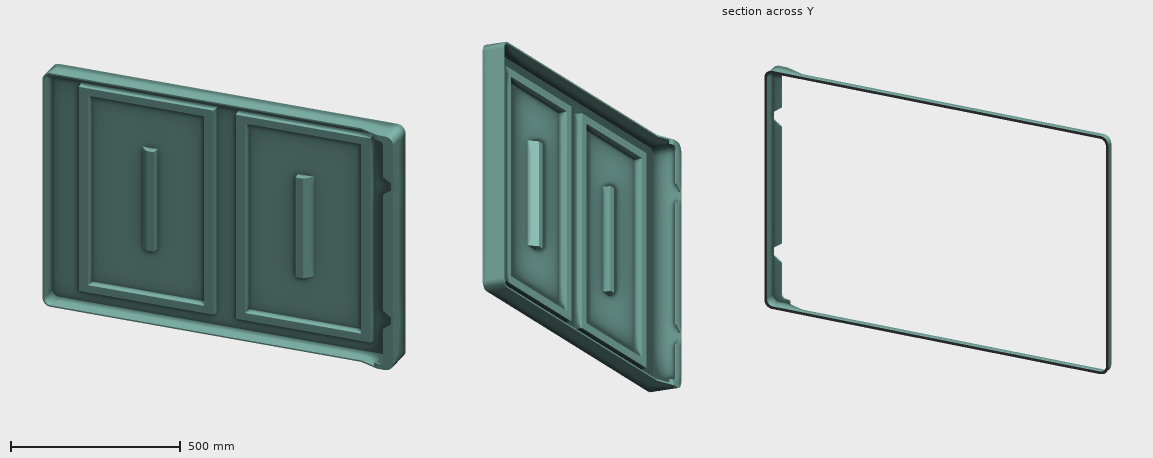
import cadquery as cq
import math

LENGTH = 1130.05
HEIGHT = 762.0
LIP_Y_DEPTH = 95.25
WALL_DEPTH = 69.85
SHEET = 4.76
CORNER_RADIUS = 25.4
INNER_CORNER_RADIUS = CORNER_RADIUS - SHEET

FLARE_START_X = 452.0
FLARE_END_X = 514.0
LIP_START_X = 502.0
LIP_END_WIDTH = 33.0
LIP_SIDE_WIDTH = 17.0
LIP_CORNER_RADIUS = 14.0

NOTCH_Z = 218.5
NOTCH_DEPTH = 26.5
NOTCH_MOUTH_WIDTH = 61.0
NOTCH_FLOOR_WIDTH = 24.0

RISE = 25.4
DRAFT_ANGLE = 5.0
DRAFT_INSET = RISE * math.tan(math.radians(DRAFT_ANGLE))
FRAME_X = 250.7
FRAME_WIDTH = 434.0
FRAME_HEIGHT = 670.0
RECESS_WIDTH = 370.5
RECESS_HEIGHT = 618.0
HANDLE_LENGTH = 325.0
HANDLE_OUTER_X = 275.0
HANDLE_EDGE_X = 250.0
HANDLE_INNER_X = 224.0

PLATE_THICKNESS = 0.25
BACK_PLATE_SIZE = 101.0
BACK_PLATE_Z = 235.0
END_PLATE_HEIGHT = 178.0
END_PLATE_DEPTH = 90.0
END_PLATE_Z = -267.0

BACK_Y = LIP_Y_DEPTH / 2
FLOOR_Y = BACK_Y - SHEET
WALL_FRONT_Y = BACK_Y - WALL_DEPTH
LIP_FRONT_Y = BACK_Y - LIP_Y_DEPTH
RIGHT_X = LENGTH / 2
LIP_INNER_X = RIGHT_X - LIP_END_WIDTH
NOTCH_FLOOR_X = LIP_INNER_X + NOTCH_DEPTH


def block(width, height, y_back, depth, x=0.0, z=0.0):
    """Box centred on (x, z) that reaches from y_back towards -Y by depth."""
    return cq.Workplane("XZ", origin=(x, y_back, z)).rect(width, height).extrude(depth)


def side_profile(setback):
    """Full-height prism from the back face to a line setback behind the front edge."""
    return (
        cq.Workplane("XY")
        .moveTo(-RIGHT_X, BACK_Y)
        .lineTo(RIGHT_X, BACK_Y)
        .lineTo(RIGHT_X, LIP_FRONT_Y + setback)
        .lineTo(FLARE_END_X, LIP_FRONT_Y + setback)
        .lineTo(FLARE_START_X, WALL_FRONT_Y + setback)
        .lineTo(-RIGHT_X, WALL_FRONT_Y + setback)
        .close()
        .extrude(HEIGHT / 2, both=True)
    )


def make_outer_body():
    outline = block(LENGTH, HEIGHT, BACK_Y, LIP_Y_DEPTH)
    return outline.edges("|Y").fillet(CORNER_RADIUS).intersect(side_profile(0.0))


def make_cavity():
    cavity = block(LENGTH - 2 * SHEET, HEIGHT - 2 * SHEET, FLOOR_Y, LIP_Y_DEPTH)
    return cavity.edges("|Y").fillet(INNER_CORNER_RADIUS)


def make_lip(body):
    """Sheet that follows the flared front edge, with an opening inside it."""
    skin = body.cut(side_profile(SHEET))
    lip_length = RIGHT_X - LIP_START_X
    lip_zone = block(lip_length, HEIGHT, BACK_Y, LIP_Y_DEPTH, x=(RIGHT_X + LIP_START_X) / 2)
    opening = block(2 * LIP_INNER_X, HEIGHT - 2 * LIP_SIDE_WIDTH, BACK_Y, LIP_Y_DEPTH)
    opening = opening.edges("|Y").fillet(LIP_CORNER_RADIUS)
    lip = skin.intersect(lip_zone).cut(opening)
    for side in (-1, 1):
        lip = lip.cut(make_notch(side * NOTCH_Z))
    return lip


def make_notch(z):
    """Cutter for one notch, wide at the lip's inner edge and narrow towards the end wall."""
    return (
        cq.Workplane("XZ", origin=(0, BACK_Y, z))
        .moveTo(LIP_INNER_X, -NOTCH_MOUTH_WIDTH / 2)
        .lineTo(NOTCH_FLOOR_X, -NOTCH_FLOOR_WIDTH / 2)
        .lineTo(NOTCH_FLOOR_X, NOTCH_FLOOR_WIDTH / 2)
        .lineTo(LIP_INNER_X, NOTCH_MOUTH_WIDTH / 2)
        .close()
        .extrude(LIP_Y_DEPTH)
    )


def make_drafted_block(x, y_back, back_size, front_size):
    """Four-sided block, RISE deep, that tapers between its back and front rectangles."""
    return (
        cq.Workplane("XZ", origin=(x, y_back, 0))
        .rect(*back_size)
        .workplane(offset=RISE)
        .rect(*front_size)
        .loft(ruled=True)
    )


def make_frame(side):
    """Raised rim whose outer and inner walls are both drafted towards the front."""
    x = side * FRAME_X
    draft = 2 * DRAFT_INSET
    frame = make_drafted_block(
        x,
        FLOOR_Y,
        (FRAME_WIDTH, FRAME_HEIGHT),
        (FRAME_WIDTH - draft, FRAME_HEIGHT - draft),
    )
    recess = make_drafted_block(
        x,
        FLOOR_Y,
        (RECESS_WIDTH - draft, RECESS_HEIGHT - draft),
        (RECESS_WIDTH, RECESS_HEIGHT),
    )
    return frame.cut(recess)


def make_handle(side):
    """Bar with a sloped face towards the outer end and a drafted inner face."""
    return (
        cq.Workplane("XY")
        .moveTo(side * HANDLE_OUTER_X, FLOOR_Y)
        .lineTo(side * HANDLE_EDGE_X, FLOOR_Y - RISE)
        .lineTo(side * (HANDLE_INNER_X + DRAFT_INSET), FLOOR_Y - RISE)
        .lineTo(side * HANDLE_INNER_X, FLOOR_Y)
        .close()
        .extrude(HANDLE_LENGTH / 2, both=True)
    )


def make_back_plate():
    y_back = BACK_Y + PLATE_THICKNESS
    return block(BACK_PLATE_SIZE, BACK_PLATE_SIZE, y_back, PLATE_THICKNESS, z=BACK_PLATE_Z)


def make_end_plate():
    """Plate on the right-hand end face, flush with the front of the lip."""
    y_back = LIP_FRONT_Y + END_PLATE_DEPTH
    x = RIGHT_X + PLATE_THICKNESS / 2
    return block(PLATE_THICKNESS, END_PLATE_HEIGHT, y_back, END_PLATE_DEPTH, x=x, z=END_PLATE_Z)


outer_body = make_outer_body()
result = outer_body.cut(make_cavity()).union(make_lip(outer_body))
for side in (-1, 1):
    result = result.union(make_frame(side)).union(make_handle(side))
result = result.union(make_back_plate()).union(make_end_plate())